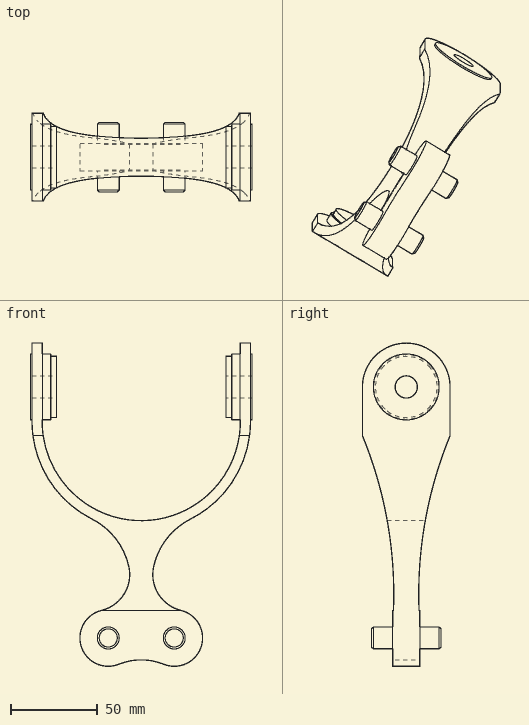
import cadquery as cq
import math

EYE_RADIUS = 25.5
EYE_HOLE_DIAMETER = 12.7
BOSS_DIAMETER = 38.1
BOSS_TIP_DIAMETER = 35.5
BOSS_OUTER_X = 64.1
BOSS_SHOULDER_X = 52.1
BOSS_TIP_X = 49.0
BOSS_CHAMFER = 0.4

FORK_INNER_RADIUS = 57.2
FORK_OUTER_RADIUS = 63.2
FORK_CENTER_Z = -20.0

PAD_BOTTOM_Z = EYE_RADIUS - 186.9
PAD_THICKNESS = 15.9
LOBE_RADIUS = 16.5
LOBE_X = 19.0
LOBE_Z = PAD_BOTTOM_Z + LOBE_RADIUS
PAD_HOLLOW_DEPTH = 3.7
PIN_DIAMETER = 12.7
PIN_LENGTH = 40.4
PIN_CHAMFER = 1.1

WAIST_HALF_WIDTH = 6.7
WAIST_Z = -108.4
NECK_JOIN_Z = -104.0

TAPER_TOP_Z = -28.0
TAPER_END_Z = -119.6
TAPER_END_HALF_THICKNESS = 7.3


def point_toward(start, target, distance):
    """Point at a distance from start, in the direction of target."""
    length = math.dist(start, target)
    return tuple(a + (b - a) * distance / length for a, b in zip(start, target))


def mirrored(point):
    return (-point[0], point[1])


waist_to_lobe_x = LOBE_X - WAIST_HALF_WIDTH
waist_to_lobe_z = WAIST_Z - LOBE_Z
lower_radius = (waist_to_lobe_x**2 + waist_to_lobe_z**2 - LOBE_RADIUS**2) / (
    2 * (LOBE_RADIUS + waist_to_lobe_x)
)
lower_center = (WAIST_HALF_WIDTH + lower_radius, WAIST_Z)
lobe_center = (LOBE_X, LOBE_Z)
fork_center = (0, FORK_CENTER_Z)
neck_foot = point_toward(lobe_center, lower_center, LOBE_RADIUS)

join_sine = (NECK_JOIN_Z - WAIST_Z) / lower_radius
join_cosine = math.sqrt(1 - join_sine**2)
neck_join = (lower_center[0] - lower_radius * join_cosine, NECK_JOIN_Z)
fork_to_lower_z = FORK_CENTER_Z - WAIST_Z
tangent_reach = FORK_OUTER_RADIUS + lower_radius
center_offset = (lower_center[0]**2 + fork_to_lower_z**2 - tangent_reach**2) / (
    2 * (tangent_reach - lower_center[0] * join_cosine - fork_to_lower_z * join_sine)
)
upper_radius = lower_radius + center_offset
upper_center = (
    lower_center[0] + center_offset * join_cosine,
    WAIST_Z - center_offset * join_sine,
)
neck_top = point_toward(fork_center, upper_center, FORK_OUTER_RADIUS)


def cylinder_x(diameter, x_start, x_end):
    """Cylinder on the eye axis."""
    return cq.Workplane("YZ", origin=(x_start, 0, 0)).circle(diameter / 2).extrude(x_end - x_start)


def make_fork_and_neck():
    middle = ((neck_top[0] + FORK_OUTER_RADIUS) / 2, (neck_top[1] + FORK_CENTER_Z) / 2)
    fork_mid = point_toward(fork_center, middle, FORK_OUTER_RADIUS)
    upper_chord_mid = tuple((a + b) / 2 for a, b in zip(neck_top, neck_join))
    upper_mid = point_toward(upper_center, upper_chord_mid, upper_radius)
    lower_chord_mid = tuple((a + b) / 2 for a, b in zip(neck_join, neck_foot))
    lower_mid = point_toward(lower_center, lower_chord_mid, lower_radius)
    outline = (
        cq.Workplane("XZ")
        .moveTo(FORK_INNER_RADIUS, EYE_RADIUS)
        .lineTo(FORK_OUTER_RADIUS, EYE_RADIUS)
        .lineTo(FORK_OUTER_RADIUS, FORK_CENTER_Z)
        .threePointArc(fork_mid, neck_top)
        .threePointArc(upper_mid, neck_join)
        .threePointArc(lower_mid, neck_foot)
        .lineTo(*mirrored(neck_foot))
        .threePointArc(mirrored(lower_mid), mirrored(neck_join))
        .threePointArc(mirrored(upper_mid), mirrored(neck_top))
        .threePointArc(mirrored(fork_mid), (-FORK_OUTER_RADIUS, FORK_CENTER_Z))
        .lineTo(-FORK_OUTER_RADIUS, EYE_RADIUS)
        .lineTo(-FORK_INNER_RADIUS, EYE_RADIUS)
        .lineTo(-FORK_INNER_RADIUS, FORK_CENTER_Z)
        .threePointArc((0, FORK_CENTER_Z - FORK_INNER_RADIUS), (FORK_INNER_RADIUS, FORK_CENTER_Z))
        .close()
    )
    return outline.extrude(EYE_RADIUS, both=True).intersect(make_side_envelope())


def make_side_envelope():
    """Round-topped side outline whose taper arcs are vertical at the taper end."""
    rise = TAPER_TOP_Z - TAPER_END_Z
    spread = EYE_RADIUS - TAPER_END_HALF_THICKNESS
    taper_radius = (rise**2 + spread**2) / (2 * spread)
    taper_center_y = TAPER_END_HALF_THICKNESS + taper_radius

    def taper_point(z):
        return (taper_center_y - math.sqrt(taper_radius**2 - (z - TAPER_END_Z)**2), z)

    taper_mid = taper_point((TAPER_TOP_Z + neck_foot[1]) / 2)
    taper_foot = taper_point(neck_foot[1])
    return (
        cq.Workplane("YZ")
        .moveTo(-EYE_RADIUS, 0)
        .threePointArc((0, EYE_RADIUS), (EYE_RADIUS, 0))
        .lineTo(EYE_RADIUS, TAPER_TOP_Z)
        .threePointArc(taper_mid, taper_foot)
        .lineTo(*mirrored(taper_foot))
        .threePointArc(mirrored(taper_mid), (-EYE_RADIUS, TAPER_TOP_Z))
        .close()
        .extrude(FORK_OUTER_RADIUS, both=True)
    )


def make_pad():
    """Two lobes joined by a hollow arc below and a flat top at the neck foot."""
    hollow_z = PAD_BOTTOM_Z + PAD_HOLLOW_DEPTH
    drop = LOBE_Z - hollow_z
    hollow_radius = (LOBE_X**2 + drop**2 - LOBE_RADIUS**2) / (2 * (LOBE_RADIUS - drop))
    hollow_center = (0, hollow_z - hollow_radius)
    hollow_end = point_toward(lobe_center, hollow_center, LOBE_RADIUS)
    lobe_side = (LOBE_X + LOBE_RADIUS, LOBE_Z)
    return (
        cq.Workplane("XZ")
        .moveTo(*mirrored(neck_foot))
        .lineTo(*neck_foot)
        .threePointArc(lobe_side, hollow_end)
        .threePointArc((0, hollow_z), mirrored(hollow_end))
        .threePointArc(mirrored(lobe_side), mirrored(neck_foot))
        .close()
        .extrude(PAD_THICKNESS / 2, both=True)
    )


def make_pin(x):
    return (
        cq.Workplane("XZ", origin=(x, 0, LOBE_Z))
        .circle(PIN_DIAMETER / 2)
        .extrude(PIN_LENGTH / 2, both=True)
        .faces("<Y or >Y")
        .chamfer(PIN_CHAMFER)
    )


def make_boss(side):
    """Stepped boss through one eye, with a chamfered inner shoulder."""
    body = cylinder_x(BOSS_DIAMETER, side * BOSS_SHOULDER_X, side * BOSS_OUTER_X)
    inner_face = "<X" if side > 0 else ">X"
    body = body.faces(inner_face).chamfer(BOSS_CHAMFER)
    return body.union(cylinder_x(BOSS_TIP_DIAMETER, side * BOSS_TIP_X, side * BOSS_SHOULDER_X))


result = make_fork_and_neck().union(make_pad())
for side in (-1, 1):
    result = result.union(make_boss(side))
    result = result.union(make_pin(side * LOBE_X))
result = result.cut(cylinder_x(EYE_HOLE_DIAMETER, -BOSS_OUTER_X, BOSS_OUTER_X))